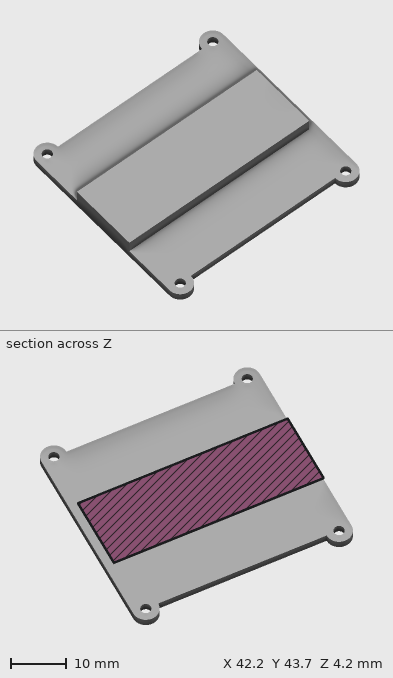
import cadquery as cq

width = 42.2
length = 43.7
height = 4.2

plate_thickness = 1.6
ear_radius = 2.5
hole_diameter = 2.0

block_width = 14.7
block_length = 42.1

ear_spacing_x = width - 2 * ear_radius
ear_spacing_y = length - 2 * ear_radius


def at_ears(workplane):
    """Place one point at each ear centre."""
    return workplane.rect(ear_spacing_x, ear_spacing_y, forConstruction=True).vertices()


def make_plate():
    """Rectangular plate joined to four drilled corner ears."""
    ground = cq.Workplane("XY")
    sheet = ground.rect(ear_spacing_x, length).extrude(plate_thickness)
    ears = at_ears(ground).circle(ear_radius).extrude(plate_thickness)
    holes = at_ears(ground).circle(hole_diameter / 2).extrude(plate_thickness)
    return sheet.union(ears).cut(holes)


def make_block():
    """Raised block centred across the plate, standing on the same base plane."""
    block_centre_y = (block_length - length) / 2
    return cq.Workplane("XY").center(0, block_centre_y).rect(block_width, block_length).extrude(height)


result = make_plate().union(make_block())